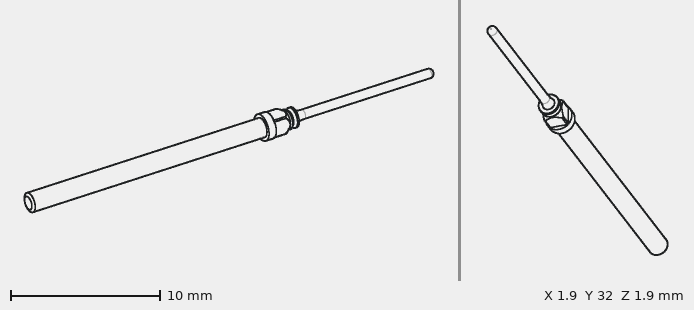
import cadquery as cq

total_length = 32.0

barrel_diameter = 1.38
barrel_end_diameter = 0.93
barrel_chamfer_length = 0.13

collar_diameter = 1.9
collar_start = 18.45
collar_end = 19.05

block_across_flats = barrel_diameter
block_corner_diameter = 1.82
block_nose_start = 20.0

rib_diameter = 1.45
rear_groove_diameter = 1.28
rear_groove_position = 20.35
rear_rib_position = 20.48
front_groove_diameter = 1.1
front_groove_position = 20.67
front_rib_start = 20.85
front_rib_end = 21.0

stem_diameter = 0.67
flare_diameter = 0.85
flare_end = 21.73
tip_round_radius = 0.3


def start_outline(position):
    """Begin a half outline on the axis, at a position along the pin."""
    return cq.Workplane("XY").moveTo(0, position)


def revolve_outline(outline):
    """Close a half outline along the Y axis and turn it into a solid."""
    return outline.close().revolve(360, (0, 0, 0), (0, 1, 0))


def make_barrel_and_collar():
    return revolve_outline(
        start_outline(0)
        .lineTo(barrel_end_diameter / 2, 0)
        .lineTo(barrel_diameter / 2, barrel_chamfer_length)
        .lineTo(barrel_diameter / 2, collar_start)
        .lineTo(collar_diameter / 2, collar_start)
        .lineTo(collar_diameter / 2, collar_end)
        .lineTo(0, collar_end)
    )


def make_block():
    """Round blank with a conical nose, trimmed to a square by four flats."""
    blank = revolve_outline(
        start_outline(collar_end)
        .lineTo(block_corner_diameter / 2, collar_end)
        .lineTo(block_corner_diameter / 2, block_nose_start)
        .lineTo(rear_groove_diameter / 2, rear_groove_position)
        .lineTo(0, rear_groove_position)
    )
    block_length = rear_groove_position - collar_end
    block_middle = collar_end + block_length / 2
    square_bar = (
        cq.Workplane("XY")
        .box(block_across_flats, block_length, block_across_flats)
        .translate((0, block_middle, 0))
    )
    return blank.intersect(square_bar)


def make_ribs():
    return revolve_outline(
        start_outline(rear_groove_position)
        .lineTo(rear_groove_diameter / 2, rear_groove_position)
        .lineTo(rib_diameter / 2, rear_rib_position)
        .lineTo(front_groove_diameter / 2, front_groove_position)
        .lineTo(rib_diameter / 2, front_rib_start)
        .lineTo(rib_diameter / 2, front_rib_end)
        .lineTo(0, front_rib_end)
    )


def make_stem():
    """Stem whose hollow flare and convex tip are both tangent to its straight side."""
    stem_radius = stem_diameter / 2
    flare_height = (flare_diameter - stem_diameter) / 2
    flare_length = flare_end - front_rib_end
    flare_arc_radius = (flare_length**2 + flare_height**2) / (2 * flare_height)
    return revolve_outline(
        start_outline(front_rib_end)
        .lineTo(flare_diameter / 2, front_rib_end)
        .radiusArc((stem_radius, flare_end), flare_arc_radius)
        .lineTo(stem_radius, total_length - tip_round_radius)
        .radiusArc((stem_radius - tip_round_radius, total_length), -tip_round_radius)
        .lineTo(0, total_length)
    )


result = make_barrel_and_collar().union(make_block()).union(make_ribs()).union(make_stem())